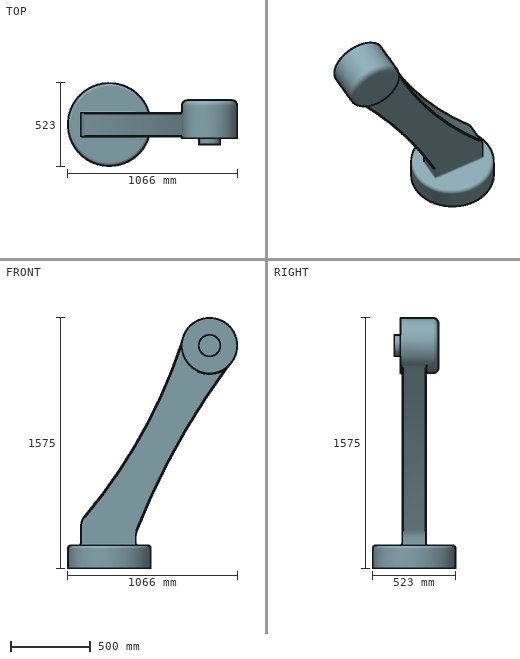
import cadquery as cq

base_diameter = 523.0
base_height = 145.0
base_fillet = 22.0

total_height = 1575.0
total_length = 1066.0
head_diameter = 350.0
head_radius = head_diameter / 2
head_x = total_length - base_diameter / 2 - head_radius
head_z = total_height - head_radius
head_front_y = -87.0
head_back_y = 155.0
head_fillet = 36.0
head_front_fillet = 5.0
seam_fillet = 5.0
pin_diameter = 135.0
pin_length = 40.0

arm_thickness = 151.0
arm_rear_x = -180.0
arm_front_x = 167.0
rear_bend_z = 300.0
front_bend_z = 217.0
rear_mid = (194.0, 832.0)
rear_end = (468.0, 1463.0)
front_mid = (447.0, 806.0)
front_end = (781.0, 1314.0)
bend_radius = 110.0
arm_edge_fillet = 6.0
foot_fillet = 11.0


def cylinder_along_y(diameter, front_y, back_y):
    """Cylinder on the head axis between two Y positions."""
    return (
        cq.Workplane("XZ", origin=(0, back_y, 0))
        .center(head_x, head_z)
        .circle(diameter / 2)
        .extrude(back_y - front_y)
    )


def make_base():
    disc = cq.Workplane("XY").circle(base_diameter / 2).extrude(base_height)
    return disc.faces(">Z").edges().fillet(base_fillet)


def make_plate(thickness):
    """Arm outline with sharp bends, extruded evenly about Y = 0."""
    return (
        cq.Workplane("XZ")
        .moveTo(arm_rear_x, base_height)
        .lineTo(arm_rear_x, rear_bend_z)
        .threePointArc(rear_mid, rear_end)
        .lineTo(*front_end)
        .threePointArc(front_mid, (arm_front_x, front_bend_z))
        .lineTo(arm_front_x, base_height)
        .close()
        .extrude(thickness / 2, both=True)
    )


def make_arm():
    plate = make_plate(arm_thickness)
    for bend_x, bend_z in ((arm_rear_x, rear_bend_z), (arm_front_x, front_bend_z)):
        bend = cq.selectors.NearestToPointSelector((bend_x, 0, bend_z))
        plate = plate.edges("|Y").edges(bend).fillet(bend_radius)
    long_edges = plate.faces("<Y or >Y").edges("not <Z").edges("not >Z")
    return long_edges.fillet(arm_edge_fillet)


def make_head():
    drum = cylinder_along_y(head_diameter, head_front_y, head_back_y)
    drum = drum.faces(">Y").edges().fillet(head_fillet)
    return drum.faces("<Y").edges().fillet(head_front_fillet)


def fillet_foot(body):
    """Blend the foot of the arm into the top of the base."""
    half_foot = base_diameter / 2 - base_fillet - foot_fillet
    foot_region = cq.selectors.BoxSelector(
        (-half_foot, -arm_thickness, base_height - foot_fillet / 2),
        (half_foot, arm_thickness, base_height + foot_fillet / 2),
    )
    return body.edges(foot_region).edges("not %CIRCLE").fillet(foot_fillet)


def make_seam_collar():
    """Concave ring blending the drum into both side faces of the arm, trimmed to the arm outline."""
    face_y = arm_thickness / 2
    ring_radius = head_radius + seam_fillet
    ring = cylinder_along_y(2 * ring_radius, -face_y - seam_fillet, face_y + seam_fillet)
    for side in (-1, 1):
        hollow = cq.Solid.makeTorus(
            ring_radius,
            seam_fillet,
            cq.Vector(head_x, side * (face_y + seam_fillet), head_z),
            cq.Vector(0, 1, 0),
        )
        ring = ring.cut(cq.Workplane(obj=hollow))
    return ring.intersect(make_plate(arm_thickness + 2 * seam_fillet))


pin = cylinder_along_y(pin_diameter, head_front_y - pin_length, head_front_y)
base_with_arm = fillet_foot(make_base().union(make_arm()))
result = base_with_arm.union(make_seam_collar()).union(make_head()).union(pin)